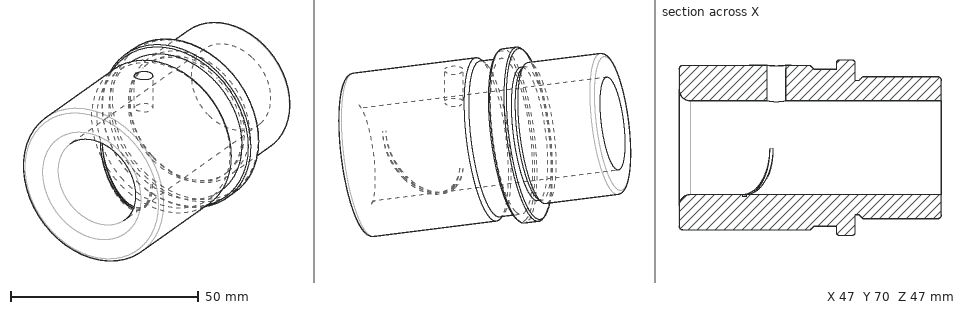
import cadquery as cq

total_length = 70.0
shoulder_y = 35.0
flange_front_y = 42.0
flange_rear_y = 47.0
spigot_y = 48.0

body_radius = 44.0 / 2
neck_radius = 42.0 / 2
flange_radius = 47.0 / 2
relief_radius = 36.0 / 2
spigot_radius = 38.0 / 2

end_round = 1.0
flange_chamfer = 0.5

bore_radius = 25.0 / 2
mouth_round = 3.0

groove_y = 17.4
groove_tilt = 30.0
groove_width = 0.8
groove_depth = 0.5

hole_diameter = 5.0
hole_y = 26.0


def outer_profile():
    """Half section of the solid turned part: radius along X, length along Y."""
    body_step = body_radius - neck_radius
    spigot_step = spigot_radius - relief_radius
    return (
        cq.Workplane("XY")
        .moveTo(0, 0)
        .lineTo(body_radius, 0)
        .lineTo(body_radius, shoulder_y)
        .lineTo(neck_radius, shoulder_y + body_step)
        .lineTo(neck_radius, flange_front_y)
        .lineTo(flange_radius - flange_chamfer, flange_front_y)
        .lineTo(flange_radius, flange_front_y + flange_chamfer)
        .lineTo(flange_radius, flange_rear_y - flange_chamfer)
        .lineTo(flange_radius - flange_chamfer, flange_rear_y)
        .lineTo(relief_radius, flange_rear_y)
        .lineTo(relief_radius, spigot_y)
        .lineTo(spigot_radius, spigot_y + spigot_step)
        .lineTo(spigot_radius, total_length)
        .lineTo(0, total_length)
        .close()
    )


def bore_cylinder():
    """Cylinder on the Y axis through the whole length."""
    return cq.Workplane("XZ").circle(bore_radius).extrude(-total_length)


def slanting_groove():
    """Tilted slab trimmed to a bore-sized cylinder that is lowered by the groove depth."""
    slab_side = 4 * bore_radius
    slab = (
        cq.Workplane("XY")
        .box(slab_side, groove_width, slab_side)
        .rotate((0, 0, 0), (0, 0, 1), -groove_tilt)
        .translate((0, groove_y, 0))
    )
    return slab.intersect(bore_cylinder().translate((0, 0, -groove_depth)))


def radial_hole():
    """Cylinder from the bore axis up through the top wall of the body."""
    return (
        cq.Workplane("XY", origin=(0, hole_y, 0))
        .circle(hole_diameter / 2)
        .extrude(body_radius)
    )


turned = outer_profile().revolve(360, (0, 0, 0), (0, 1, 0))
turned = turned.faces("<Y or >Y").edges().fillet(end_round)

bored = turned.cut(bore_cylinder())
mouth_edge = cq.selectors.RadiusNthSelector(0)
bored = bored.faces("<Y").edges(mouth_edge).fillet(mouth_round)

result = bored.cut(slanting_groove()).cut(radial_hole())